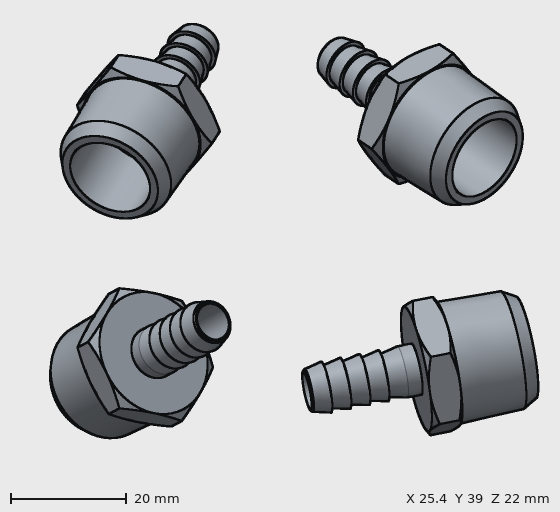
import cadquery as cq
import math

total_length = 39.0

plug_length = 14.05
plug_lead_in = 2.5
plug_face_radius = 9.0
plug_front_radius = 10.4
plug_rear_radius = 10.75

hex_length = 5.45
hex_across_flats = 22.0
hex_face_radius = hex_across_flats / 2
hex_chamfer_angle = 30.0

barb_count = 5
barb_pitch = 3.4
barb_large_radius = 4.52
barb_small_radius = 3.8
tip_chamfer = 0.3

bore_radius = 3.25
counterbore_radius = 7.53
counterbore_depth = plug_length
floor_cone_length = 2.5

hex_end = plug_length + hex_length
barbs_start = total_length - barb_count * barb_pitch
hex_corner_radius = hex_across_flats / math.sqrt(3)


def revolve_about_y(points):
    """Revolve a closed (radius, y) outline about the Y axis."""
    return cq.Workplane("XY").polyline(points).close().revolve(360, (0, 0, 0), (0, 1, 0))


def make_plug():
    return revolve_about_y([
        (0, 0),
        (plug_face_radius, 0),
        (plug_front_radius, plug_lead_in),
        (plug_rear_radius, plug_length),
        (0, plug_length),
    ])


def make_hexagon():
    prism = (
        cq.Workplane("XZ", origin=(0, hex_end, 0))
        .polygon(6, 2 * hex_corner_radius)
        .extrude(hex_length)
    )
    cone_radius = hex_corner_radius
    cone_rise = (cone_radius - hex_face_radius) * math.tan(math.radians(hex_chamfer_angle))
    trimmer = revolve_about_y([
        (0, plug_length),
        (hex_face_radius, plug_length),
        (cone_radius, plug_length + cone_rise),
        (cone_radius, hex_end - cone_rise),
        (hex_face_radius, hex_end),
        (0, hex_end),
    ])
    return prism.intersect(trimmer)


def make_hose_tail():
    outline = [(0, hex_end), (barb_large_radius, hex_end)]
    for index in range(barb_count):
        barb_base = barbs_start + index * barb_pitch
        outline.append((barb_large_radius, barb_base))
        outline.append((barb_small_radius, barb_base + barb_pitch))
    outline[-1] = (barb_small_radius, total_length - tip_chamfer)
    outline.append((barb_small_radius - tip_chamfer, total_length))
    outline.append((0, total_length))
    return revolve_about_y(outline)


def make_bore():
    return revolve_about_y([
        (0, 0),
        (counterbore_radius, 0),
        (counterbore_radius, counterbore_depth),
        (bore_radius, counterbore_depth + floor_cone_length),
        (bore_radius, total_length),
        (0, total_length),
    ])


result = make_plug().union(make_hexagon()).union(make_hose_tail()).cut(make_bore())